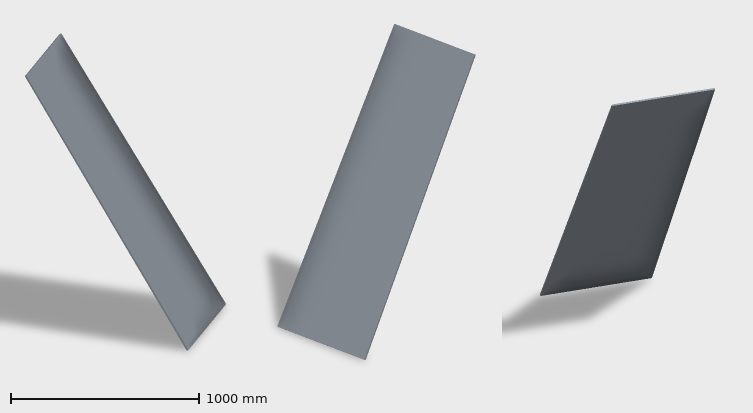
import cadquery as cq
import math

THICKNESS = 10.0
HEIGHT = 1474.62
LOWER_WIDTH = 637.92
TAPER = 50.0

TILT = math.atan((math.sqrt(5) - 1) / 2)

LENGTH = (HEIGHT - THICKNESS * math.sin(TILT)) / math.cos(TILT)


def underside_plane():
    """Plane of the underside: local x runs down the slope, local y along +Y."""
    down_slope = (math.sin(TILT), 0, -math.cos(TILT))
    outward = (math.cos(TILT), 0, math.sin(TILT))
    upper_corner = (0, 0, LENGTH * math.cos(TILT))
    return cq.Plane(origin=upper_corner, xDir=down_slope, normal=outward)


def make_panel():
    """Flat four-sided panel with a straight -Y edge and a tapered +Y edge."""
    outline = [
        (0, 0),
        (LENGTH, 0),
        (LENGTH, LOWER_WIDTH),
        (0, LOWER_WIDTH - TAPER),
    ]
    return cq.Workplane(underside_plane()).polyline(outline).close().extrude(THICKNESS)


result = make_panel()